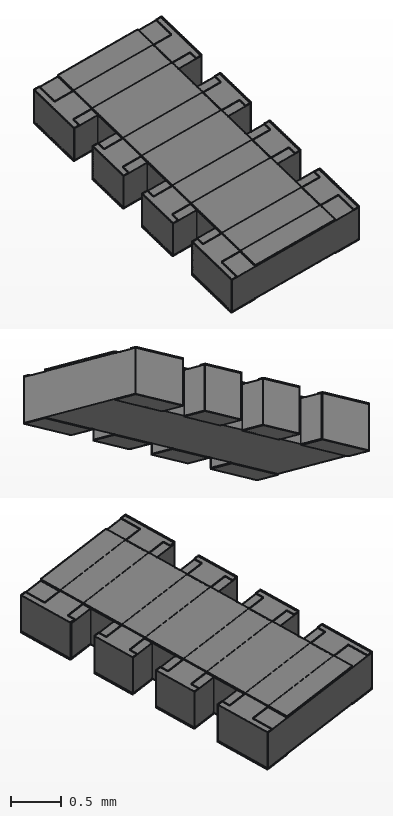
import cadquery as cq


LENGTH = 3.2
WIDTH = 1.6
HEIGHT = 0.5

PLATING = 0.01
COVER_THICKNESS = 0.0208
COVER_WIDTH = 1.0

ELEMENT_COUNT = 4
PITCH = LENGTH / ELEMENT_COUNT
INNER_TOOTH_WIDTH = 0.5
STRIP_WIDTH = 0.3
TOP_BAND_DEPTH = 0.07
LAST_ELEMENT_INSET = 0.01

SUBSTRATE_TOP = HEIGHT - COVER_THICKNESS
PLATING_TOP = SUBSTRATE_TOP + PLATING
SUBSTRATE_WIDTH = WIDTH - 2 * PLATING
NOTCH_WIDTH = PITCH - INNER_TOOTH_WIDTH

ELEMENT_CENTERS = [(i - (ELEMENT_COUNT - 1) / 2) * PITCH for i in range(ELEMENT_COUNT)]
NOTCH_CENTERS = [x + PITCH / 2 for x in ELEMENT_CENTERS[:-1]]


def block(x_range, y_range, z_range):
    """Box between the given limits along each axis."""
    (x0, x1), (y0, y1), (z0, z1) = x_range, y_range, z_range
    return cq.Workplane("XY").box(x1 - x0, y1 - y0, z1 - z0, centered=False).translate((x0, y0, z0))


def centered(width, center=0.0):
    """Limits of a span of the given width about a center."""
    return center - width / 2, center + width / 2


def tooth_sides(index):
    """X limits of a tooth; the first and last teeth reach the ends of the substrate."""
    left = -LENGTH / 2
    right = LENGTH / 2
    if index > 0:
        left = NOTCH_CENTERS[index - 1] + NOTCH_WIDTH / 2
    if index < ELEMENT_COUNT - 1:
        right = NOTCH_CENTERS[index] - NOTCH_WIDTH / 2
    return left, right


def make_substrate():
    """Flat slab, notched between the teeth on both long sides as deep as the cover's edges."""
    slab = block(centered(LENGTH), centered(SUBSTRATE_WIDTH), (PLATING, SUBSTRATE_TOP))
    for x in NOTCH_CENTERS:
        notch_sides = centered(NOTCH_WIDTH, x)
        notch_height = (PLATING, SUBSTRATE_TOP)
        slab = slab.cut(block(notch_sides, (-WIDTH / 2, -COVER_WIDTH / 2), notch_height))
        slab = slab.cut(block(notch_sides, (COVER_WIDTH / 2, WIDTH / 2), notch_height))
    return slab


def make_strip(center):
    """Flat conductor along the top, from one end of an element to the other."""
    return block(centered(STRIP_WIDTH, center), centered(WIDTH), (SUBSTRATE_TOP, PLATING_TOP))


def make_end_cap(sides):
    """Plating wrapped around the -Y end of a tooth: top band, end wall and bottom pad."""
    outer = -WIDTH / 2
    top_band = block(sides, (outer, outer + TOP_BAND_DEPTH), (SUBSTRATE_TOP, PLATING_TOP))
    end_wall = block(sides, (outer, outer + PLATING), (0, PLATING_TOP))
    bottom_pad = block(sides, (outer, -COVER_WIDTH / 2), (0, PLATING))
    return end_wall.union(top_band).union(bottom_pad)


def make_element(index):
    """Top strip with an end cap on each of its two teeth, as one solid."""
    left, right = tooth_sides(index)
    if index == ELEMENT_COUNT - 1:
        left += LAST_ELEMENT_INSET
    cap = make_end_cap((left, right))
    return make_strip(ELEMENT_CENTERS[index]).union(cap).union(cap.mirror("XZ")).clean()


def make_cover():
    """Coat over the middle of the substrate, channelled underneath where the strips pass."""
    coat = block(centered(LENGTH), centered(COVER_WIDTH), (SUBSTRATE_TOP, HEIGHT))
    for x in ELEMENT_CENTERS:
        coat = coat.cut(make_strip(x))
    return coat


substrate = make_substrate()
elements = [make_element(i) for i in range(ELEMENT_COUNT)]
cover = make_cover()

result = cq.Compound.makeCompound([substrate.val(), *[element.val() for element in elements], cover.val()])